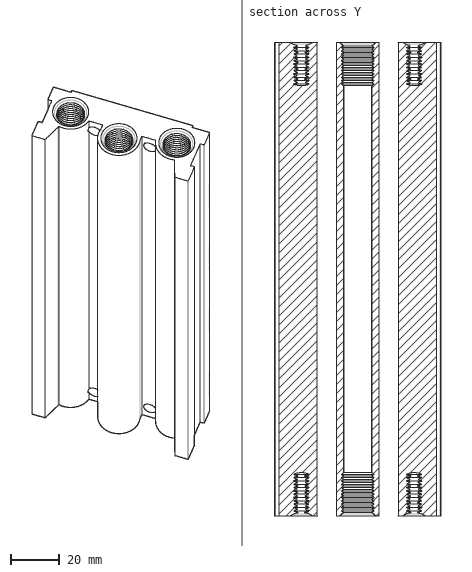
import cadquery as cq

length = 193.5
width = 68.0
depth = 27.0
half_length = length / 2
half_width = width / 2
back = depth / 2
front = -depth / 2

pad_half_width = 26.3
pad_height = 1.0

groove_depth = 1.7
groove_start = 7.7
groove_end = 19.4
outer_corner_radius = 0.4

leg_foot_width = 5.8
leg_root_width = 8.7
leg_root_from_back = 19.4

web_thickness = 12.2
tube_radius = 8.7
neck_width = 17.0
outer_bore_x = 23.0
outer_bore_y = back - 10.5
centre_bore_y = back - 16.3
bore_centres = [(-outer_bore_x, outer_bore_y), (0, centre_bore_y), (outer_bore_x, outer_bore_y)]

bore_radius = 11.5 / 2
thread_radius = 13.2 / 2
mouth_radius = 14.7 / 2
thread_pitch = 1.4
thread_turns = 12

mount_hole_diameter = 5.5
mount_hole_x = 12.0
mount_hole_from_end = 6.0

pick_margin = 0.2


def extrude_full_length(sketch):
    return sketch.extrude(half_length, both=True)


def make_side():
    """Half of the plate on the +X side, from the centre plane to the outer leg."""
    outline = [
        (0, back),
        (pad_half_width, back),
        (pad_half_width, back - pad_height),
        (half_width, back - pad_height),
        (half_width, back - groove_start),
        (half_width - groove_depth, back - groove_start),
        (half_width - groove_depth, back - groove_end),
        (half_width, back - groove_end),
        (half_width, front),
        (half_width - leg_foot_width, front),
        (half_width - leg_root_width, back - leg_root_from_back),
        (outer_bore_x, outer_bore_y),
        (outer_bore_x, back - web_thickness),
        (0, back - web_thickness),
    ]
    side = extrude_full_length(cq.Workplane("XY").polyline(outline).close())
    outer_face_box = cq.selectors.BoxSelector(
        (half_width - pick_margin, front - pick_margin, -pick_margin),
        (half_width + pick_margin, back + pick_margin, pick_margin),
    )
    return side.edges("|Z").edges(outer_face_box).fillet(outer_corner_radius)


def make_tubes():
    """Round tubes for the three bores, with a neck tying the centre one to the web."""
    tubes = extrude_full_length(cq.Workplane("XY").pushPoints(bore_centres).circle(tube_radius))
    neck_height = back - centre_bore_y
    neck = cq.Workplane("XY").center(0, centre_bore_y + neck_height / 2).rect(neck_width, neck_height)
    return tubes.union(extrude_full_length(neck))


def make_bore_cutter():
    """Through bore with a chamfered mouth and ring-shaped thread grooves at each end."""
    thread_top = half_length - (mouth_radius - thread_radius)
    profile = [(0, half_length), (mouth_radius, half_length), (thread_radius, thread_top)]
    for turn in range(thread_turns):
        turn_top = thread_top - turn * thread_pitch
        profile.append((bore_radius, turn_top - thread_pitch / 2))
        profile.append((thread_radius, turn_top - thread_pitch))
    thread_end = thread_top - (thread_turns + 0.5) * thread_pitch
    profile += [(bore_radius, thread_end), (bore_radius, 0), (0, 0)]
    upper_half = cq.Workplane("XZ").polyline(profile).close().revolve(360, (0, 0, 0), (0, 1, 0))
    return upper_half.union(upper_half.mirror("XY"))


def make_mount_holes():
    spacing_z = length - 2 * mount_hole_from_end
    holes = cq.Workplane("XZ").rarray(2 * mount_hole_x, spacing_z, 2, 2).circle(mount_hole_diameter / 2)
    return holes.extrude(depth, both=True)


side_plate = make_side()
result = side_plate.union(side_plate.mirror("YZ")).union(make_tubes())

bore_cutter = make_bore_cutter()
for bore_x, bore_y in bore_centres:
    result = result.cut(bore_cutter.translate((bore_x, bore_y, 0)))

result = result.cut(make_mount_holes())